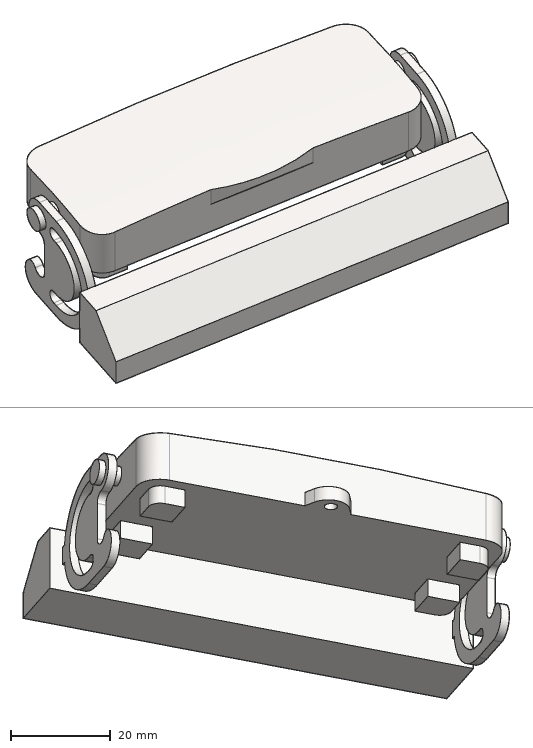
import cadquery as cq
import math


cover_left = -14.7
cover_right = 14.9
cover_length = 79.1
cover_corner_radius = 5.15
crest_height = 12.4
crown_drop_across = 0.8
crown_drop_along = 1.3

lip_half_length = 12.0
lip_reach = 1.8
lip_edge_bottom = 9.3

lug_tip = -19.2
lug_radius = 4.3
lug_thickness = 3.0
lug_flank_angle = 62.0
lug_hole_x = -16.4
lug_hole_diameter = 2.7

foot_inset = 2.8
foot_size = 6.9
foot_height = 4.0
foot_corner_radius = 2.6

pin_z = 7.0
pin_radius = 2.0
pin_head_radius = 2.6
pin_head_thickness = 1.4

arm_inner_y = 41.4
arm_thickness = 1.8
hub_radius = 4.05
sweep_x = 6.5
sweep_radius = 13.0
notch_radius = 1.9
notch_lower_z = -7.0
toe_x = -1.5
toe_tip_radius = 1.7
slot_mid_radius = 8.6
slot_width = 3.0
slot_end_x = 5.6

bar_left = 20.3
bar_width = 14.2
bar_length = 92.0
bar_top = 3.9
bar_height = 13.7
bar_chamfer = 7.8
neck_height = 4.0

root_overlap = 0.9
arm_outer_y = arm_inner_y + arm_thickness
sweep_z = pin_z + hub_radius - sweep_radius
cover_width = cover_right - cover_left
cover_middle = (cover_left + cover_right) / 2


def on_circle(centre, radius, degrees):
    """Point on a circle, measured counter-clockwise from the first axis."""
    angle = math.radians(degrees)
    return (centre[0] + radius * math.cos(angle), centre[1] + radius * math.sin(angle))


def beyond(start, end, distance):
    """Point at a distance from start, in the direction of end."""
    length = math.dist(start, end)
    return tuple(a + (b - a) * distance / length for a, b in zip(start, end))


def circles_meet(centre_1, radius_1, centre_2, radius_2):
    """Crossing of two circles that lies left of the line from centre 1 to centre 2."""
    gap = math.dist(centre_1, centre_2)
    along = (radius_1**2 - radius_2**2 + gap**2) / (2 * gap)
    aside = math.sqrt(radius_1**2 - along**2)
    ux = (centre_2[0] - centre_1[0]) / gap
    uz = (centre_2[1] - centre_1[1]) / gap
    return (centre_1[0] + along * ux - aside * uz, centre_1[1] + along * uz + aside * ux)


def make_crown():
    """Block whose top curves both across and along the cover."""
    overhang = 9.2
    below = 0.9
    swing = 20.0
    across_radius = ((cover_width / 2) ** 2 + crown_drop_across**2) / (2 * crown_drop_across)
    along_radius = ((cover_length / 2) ** 2 + crown_drop_along**2) / (2 * crown_drop_along)
    half = cover_width / 2 + overhang
    shoulder = crest_height - across_radius + math.sqrt(across_radius**2 - half**2)
    axis_z = crest_height - along_radius
    profile = (
        cq.Workplane("XZ")
        .moveTo(-half, -below)
        .lineTo(-half, shoulder)
        .threePointArc((0, crest_height), (half, shoulder))
        .lineTo(half, -below)
        .close()
    )
    crown = profile.revolve(swing, (0, axis_z), (1, axis_z))
    return crown.rotate((0, 0, axis_z), (1, 0, axis_z), -swing / 2)


def make_lip():
    """Arc-shaped bulge whose edge turns into a 45 degree flat running down into the cover."""
    tip = cover_right + lip_reach
    root = tip - lip_edge_bottom
    top = 2 * crest_height
    lip = (
        cq.Workplane("XY")
        .moveTo(cover_right, -lip_half_length)
        .threePointArc((tip, 0), (cover_right, lip_half_length))
        .lineTo(root, lip_half_length)
        .lineTo(root, -lip_half_length)
        .close()
        .extrude(top)
    )
    side_profile = (
        cq.Workplane("XZ")
        .polyline([(root, 0), (tip, lip_edge_bottom), (tip, top), (root, top)])
        .close()
        .extrude(lip_half_length, both=True)
    )
    return lip.intersect(side_profile)


def make_cover():
    """Rounded box with the lip, trimmed to the crowned top."""
    body = (
        cq.Workplane("XY")
        .center(cover_middle, 0)
        .rect(cover_width, cover_length)
        .extrude(2 * crest_height)
        .edges("|Z")
        .fillet(cover_corner_radius)
    )
    return body.union(make_lip()).intersect(make_crown())


def make_lug():
    """Flat lug with a round nose, straight flanks and a hole, sunk slightly into the cover."""
    centre = (lug_tip + lug_radius, 0)
    upper = on_circle(centre, lug_radius, 180 - lug_flank_angle)
    root_x = cover_left + root_overlap
    root_y = upper[1] + (root_x - upper[0]) / math.tan(math.radians(lug_flank_angle))
    hole = cq.Workplane("XY").center(lug_hole_x, 0).circle(lug_hole_diameter / 2).extrude(lug_thickness)
    plate = (
        cq.Workplane("XY")
        .moveTo(root_x, root_y)
        .lineTo(*upper)
        .threePointArc((lug_tip, 0), (upper[0], -upper[1]))
        .lineTo(root_x, -root_y)
        .close()
        .extrude(lug_thickness)
    )
    return plate.cut(hole)


def make_foot(x_side, y_side):
    """Square foot near one corner of the cover, rounded on its outer corner."""
    x = cover_middle + x_side * (cover_width / 2 - foot_inset - foot_size / 2)
    y = y_side * (cover_length / 2 - foot_inset - foot_size / 2)
    outer_corner = cq.selectors.NearestToPointSelector(
        (x + x_side * foot_size / 2, y + y_side * foot_size / 2, -foot_height / 2)
    )
    return (
        cq.Workplane("XY")
        .center(x, y)
        .rect(foot_size, foot_size)
        .extrude(-foot_height)
        .edges("|Z")
        .edges(outer_corner)
        .fillet(foot_corner_radius)
    )


def make_pin():
    """Hinge pin of the +Y end, with its head outside the arm."""
    start = cq.Workplane("XZ").center(0, pin_z)
    root_y = cover_length / 2 - root_overlap
    shank = start.workplane(offset=-root_y).circle(pin_radius).extrude(root_y - arm_outer_y)
    head = start.workplane(offset=-arm_outer_y).circle(pin_head_radius).extrude(-pin_head_thickness)
    return shank.union(head)


def make_arm():
    """Hinge arm of the +Y end: hub, large round, toe, notch and curved slot."""
    hub = (0, pin_z)
    sweep = (sweep_x, sweep_z)
    notch_upper = (0, pin_z - hub_radius - notch_radius)
    notch_lower = (0, notch_lower_z)
    heel = (toe_x, sweep_z - sweep_radius + hub_radius)
    tip = circles_meet(heel, hub_radius - toe_tip_radius, notch_lower, notch_radius + toe_tip_radius)
    heel_to_tip = beyond(heel, tip, hub_radius)
    tip_to_notch = beyond(notch_lower, tip, notch_radius)
    plate = (
        cq.Workplane("XZ", origin=(0, arm_outer_y, 0))
        .moveTo(*on_circle(hub, hub_radius, 90))
        .lineTo(*on_circle(sweep, sweep_radius, 90))
        .threePointArc(on_circle(sweep, sweep_radius, 0), on_circle(sweep, sweep_radius, -90))
        .lineTo(*on_circle(heel, hub_radius, -90))
        .threePointArc(on_circle(heel, hub_radius, -150), heel_to_tip)
        .threePointArc(on_circle(tip, toe_tip_radius, 90), tip_to_notch)
        .threePointArc(on_circle(notch_lower, notch_radius, -90), on_circle(notch_lower, notch_radius, 0))
        .lineTo(*on_circle(notch_upper, notch_radius, 0))
        .threePointArc(on_circle(notch_upper, notch_radius, 45), on_circle(hub, hub_radius, -90))
        .threePointArc(on_circle(hub, hub_radius, 180), on_circle(hub, hub_radius, 90))
        .close()
        .extrude(arm_thickness)
    )

    slot_outer = slot_mid_radius + slot_width / 2
    slot_inner = slot_mid_radius - slot_width / 2
    cap_x = slot_end_x - slot_width / 2
    slot = (
        cq.Workplane("XZ", origin=(0, arm_outer_y, 0))
        .moveTo(slot_end_x, sweep_z + slot_outer)
        .lineTo(*on_circle(sweep, slot_outer, 90))
        .threePointArc(on_circle(sweep, slot_outer, 0), on_circle(sweep, slot_outer, -90))
        .lineTo(slot_end_x, sweep_z - slot_outer)
        .threePointArc((cap_x, sweep_z - slot_mid_radius), (slot_end_x, sweep_z - slot_inner))
        .lineTo(*on_circle(sweep, slot_inner, -90))
        .threePointArc(on_circle(sweep, slot_inner, 0), on_circle(sweep, slot_inner, 90))
        .lineTo(slot_end_x, sweep_z + slot_inner)
        .threePointArc((cap_x, sweep_z + slot_mid_radius), (slot_end_x, sweep_z + slot_outer))
        .close()
        .extrude(arm_thickness)
    )

    neck_start = sweep_x + (slot_outer + sweep_radius) / 2
    neck_length = bar_left - neck_start
    neck = (
        cq.Workplane("XY", origin=(neck_start, arm_inner_y, -neck_height))
        .box(neck_length, arm_thickness, neck_height, centered=False)
    )
    return plate.cut(slot).union(neck)


def make_bar():
    """Long bar with a wide chamfer on its upper right edge."""
    return (
        cq.Workplane("XY")
        .box(bar_width, bar_length, bar_height, centered=(False, True, False))
        .translate((bar_left, 0, bar_top - bar_height))
        .edges(">X and >Z")
        .chamfer(bar_chamfer)
    )


result = make_cover().union(make_lug()).union(make_bar())
for x_side in (-1, 1):
    for y_side in (-1, 1):
        result = result.union(make_foot(x_side, y_side))
hinge = make_pin().union(make_arm())
result = result.union(hinge).union(hinge.mirror("XZ"))